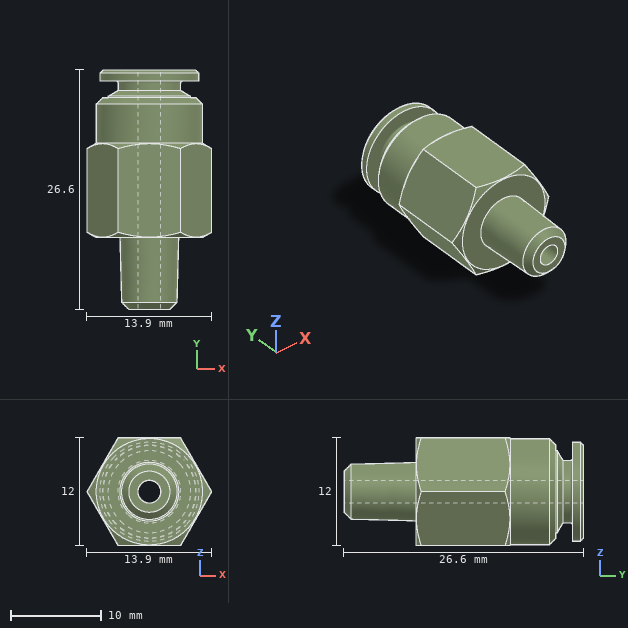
import cadquery as cq
import math

total_length = 26.62
stem_length = 7.99
stem_chamfer = 0.8
hex_length = 10.5
body_length = 5.05
skirt_length = 0.15
cone_length = 0.65
neck_length = 1.05
hex_end = stem_length + hex_length
body_end = hex_end + body_length
skirt_end = body_end + skirt_length
cone_end = skirt_end + cone_length
collar_start = cone_end + neck_length

bore_radius = 1.25
stem_tip_radius = 2.3
stem_taper_small_radius = 3.1
stem_taper_large_radius = 3.27
body_radius = 5.9
body_chamfer = 0.72
skirt_radius = 4.58
neck_radius = 3.5
neck_fillet = 0.2
collar_radius = 5.5
collar_chamfer = 0.37

hex_across_flats = 12.0
hex_corner_radius = hex_across_flats / math.sqrt(3)
hex_face_radius = 5.9
hex_chamfer_angle = math.radians(30)


def revolve_outline(outline):
    """Revolve a closed outline, drawn with radius along X, around the Y axis."""
    return outline.revolve(360, (0, 0), (0, 1))


def make_turned_body():
    fillet_bulge = neck_fillet * (1 - math.sqrt(0.5))
    outline = (
        cq.Workplane("XY")
        .lineTo(stem_tip_radius, 0)
        .lineTo(stem_taper_small_radius, stem_chamfer)
        .lineTo(stem_taper_large_radius, stem_length)
        .lineTo(body_radius, stem_length)
        .lineTo(body_radius, body_end - body_chamfer)
        .lineTo(body_radius - body_chamfer, body_end)
        .lineTo(skirt_radius, body_end)
        .lineTo(skirt_radius, skirt_end)
        .lineTo(neck_radius, cone_end)
        .lineTo(neck_radius, collar_start - neck_fillet)
        .threePointArc(
            (neck_radius + fillet_bulge, collar_start - fillet_bulge),
            (neck_radius + neck_fillet, collar_start),
        )
        .lineTo(collar_radius, collar_start)
        .lineTo(collar_radius, total_length - collar_chamfer)
        .lineTo(collar_radius - collar_chamfer, total_length)
        .lineTo(0, total_length)
        .close()
    )
    return revolve_outline(outline)


def make_hex_grip():
    prism = (
        cq.Workplane("XZ", origin=(0, stem_length, 0))
        .polygon(6, 2 * hex_corner_radius)
        .extrude(-hex_length)
    )
    corner_drop = (hex_corner_radius - hex_face_radius) * math.tan(hex_chamfer_angle)
    outline = cq.Workplane("XY").polyline([
        (0, stem_length),
        (hex_face_radius, stem_length),
        (hex_corner_radius, stem_length + corner_drop),
        (hex_corner_radius, hex_end - corner_drop),
        (hex_face_radius, hex_end),
        (0, hex_end),
    ]).close()
    envelope = revolve_outline(outline)
    return prism.intersect(envelope)


def make_bore():
    return cq.Workplane("XZ").circle(bore_radius).extrude(-total_length)


result = make_turned_body().union(make_hex_grip()).cut(make_bore())